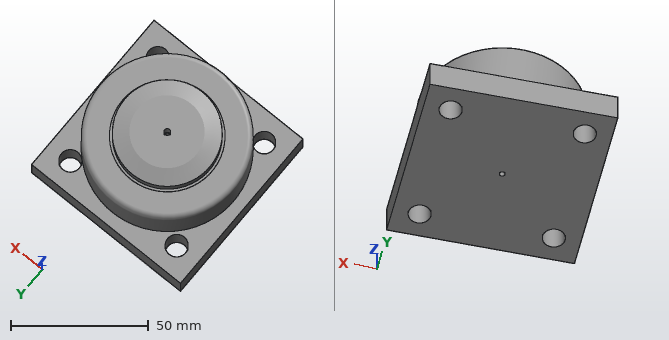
import cadquery as cq

plate_side = 70.0
plate_thickness = 12.0
bolt_spacing = 50.0
bolt_hole_diameter = 8.4

neck_diameter = 35.0
neck_height = 3.5
roller_diameter = 62.5
roller_width = 20.0
roller_edge_radius = 2.0

cap_diameter = 40.0
cap_flat_diameter = 27.3
cap_bevel_height = 1.55
bore_diameter = 42.0
gap_depth = 0.2

total_height = 41.0
passage_diameter = 2.0
cap_hole_diameter = 2.5

roller_bottom = plate_thickness + neck_height
roller_top = roller_bottom + roller_width
gap_floor = roller_top - gap_depth


def cylinder(diameter, bottom, top):
    """Upright cylinder on the central axis between two heights."""
    return cq.Workplane("XY").workplane(offset=bottom).circle(diameter / 2).extrude(top - bottom)


def make_plate():
    """Square plate with a bolt hole near each corner."""
    return (
        cq.Workplane("XY")
        .rect(plate_side, plate_side)
        .extrude(plate_thickness)
        .faces(">Z")
        .workplane()
        .rect(bolt_spacing, bolt_spacing, forConstruction=True)
        .vertices()
        .hole(bolt_hole_diameter)
    )


def make_roller():
    """Roller with rounded outer rims and a shallow recess in its top."""
    roller = cylinder(roller_diameter, roller_bottom, roller_top).edges().fillet(roller_edge_radius)
    return roller.cut(cylinder(bore_diameter, gap_floor, roller_top))


def make_cap():
    """Round cap whose upper edge slopes in to a flat top."""
    cap_radius = cap_diameter / 2
    flat_radius = cap_flat_diameter / 2
    profile = [
        (0, gap_floor),
        (cap_radius, gap_floor),
        (cap_radius, total_height - cap_bevel_height),
        (flat_radius, total_height),
        (0, total_height),
    ]
    return cq.Workplane("XZ").polyline(profile).close().revolve(360, (0, 0, 0), (0, 1, 0))


neck = cylinder(neck_diameter, plate_thickness, roller_bottom)
passage = cylinder(passage_diameter, 0, total_height)
cap_hole = cylinder(cap_hole_diameter, roller_top, total_height)

body = make_plate().union(neck).union(make_roller()).union(make_cap())
result = body.cut(passage).cut(cap_hole)